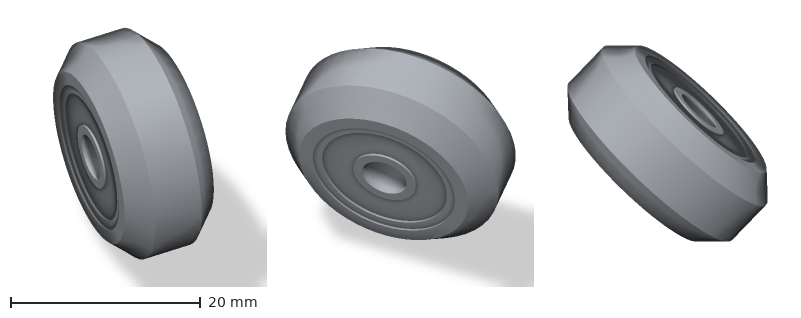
import cadquery as cq

wheel_diameter = 23.9
wheel_width = 10.23
bevel = 2.45

seat_diameter = 15.97
shield_diameter = 14.0
hub_diameter = 7.0
bore_diameter = 5.0
ring_recess = 0.227
shield_recess = 0.48


def disc(diameter, width):
    """Disc on the Y axis, centred on the origin."""
    return cq.Workplane("XZ", origin=(0, width / 2, 0)).circle(diameter / 2).extrude(width)


def both_faces_ring(outer_diameter, inner_diameter, depth):
    """Ring-shaped cutters reaching the given depth into both wheel faces."""
    floor_to_floor = wheel_width - 2 * depth
    ring = disc(outer_diameter, wheel_width).cut(disc(inner_diameter, wheel_width))
    return ring.cut(disc(outer_diameter, floor_to_floor))


wheel = disc(wheel_diameter, wheel_width).edges().chamfer(bevel)
bearing_recess = both_faces_ring(seat_diameter, bore_diameter, ring_recess)
shield_groove = both_faces_ring(shield_diameter, hub_diameter, shield_recess)
bore = disc(bore_diameter, wheel_width)

result = wheel.cut(bearing_recess).cut(shield_groove).cut(bore)